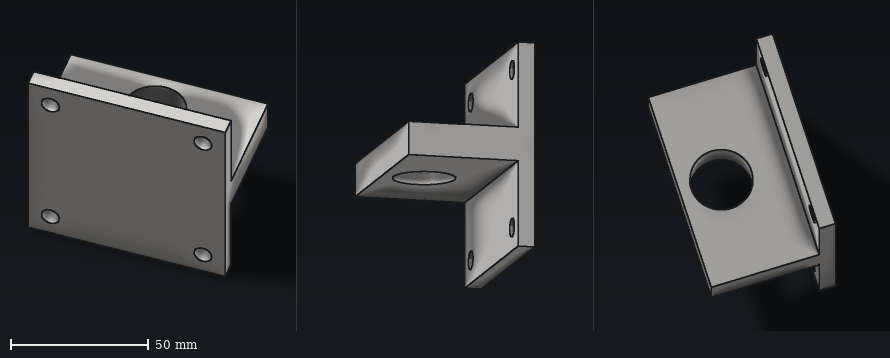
import cadquery as cq

plate_side = 76.2
plate_thickness = 6.3
mount_hole_diameter = 6.8
mount_hole_spacing = 58.8

overall_depth = 47.6
shelf_thickness = 12.5
shelf_bore_diameter = 22.9
bore_to_shelf_end = 15.9
bore_y = overall_depth - bore_to_shelf_end


def make_plate():
    """Square plate with a mounting hole near each corner."""
    plate = cq.Workplane("XY").box(
        plate_side, plate_thickness, plate_side, centered=(True, False, True)
    )
    return (
        plate.faces("<Y").workplane(centerOption="CenterOfBoundBox")
        .rarray(mount_hole_spacing, mount_hole_spacing, 2, 2)
        .hole(mount_hole_diameter)
    )


def make_shelf():
    """Full-width shelf with a vertical through bore near its free end."""
    shelf_length = overall_depth - plate_thickness
    shelf = (
        cq.Workplane("XY").box(
            plate_side, shelf_length, shelf_thickness, centered=(True, False, True)
        )
        .translate((0, plate_thickness, 0))
    )
    bore = (
        cq.Workplane("XY").center(0, bore_y)
        .circle(shelf_bore_diameter / 2)
        .extrude(shelf_thickness, both=True)
    )
    return shelf.cut(bore)


result = make_plate().union(make_shelf())